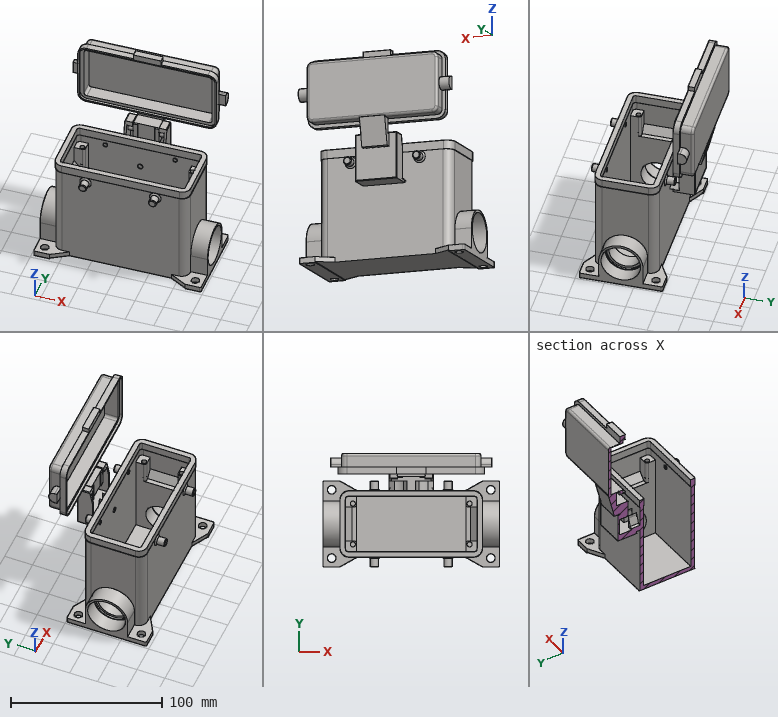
import cadquery as cq

body_length = 93.7
body_width = 43.8
body_corner = 6.0
body_bottom = 0.5
rim_length = 94.5
rim_width = 44.1
rim_top = 77.1
rim_height = 5.9
rim_bottom = rim_top - rim_height

cavity_length = 87.3
cavity_width = 36.9
cavity_corner = 2.5
mouth_length = 87.0
mouth_width = 36.6
mouth_corner = 1.7
floor_top = 4.1
floor_length = 72.2

post_top = 65.6
post_width = 7.2
post_edge_radius = 1.7
ledge_top = 49.2
ramp_top = 54.3
ramp_run = 4.4
screw_hole_x = 38.6
screw_hole_y = 13.5
screw_hole_diameter = 3.3
screw_hole_depth = 13.8

entry_length = 117.0
entry_height = 17.6
entry_radius = 15.2
bore_radius = 11.3
seat_radius = 13.0
recess_radius = 13.5
recess_depth = 10.7
seat_depth = 12.1

foot_width = 57.0
foot_top = 3.9
pad_inner_x = 47.2
wing_inner_x = 35.5
foot_corner = 1.0
foot_hole_x = 52.6
foot_hole_y = 22.6
foot_hole_diameter = 5.5

pin_x = 24.4
pin_height = 67.2
pin_radius = 2.8
pin_base_radius = 4.0
pin_base_height = 1.0
pin_chamfer = 0.5

bracket_half_width = 14.6
bracket_front = body_width / 2
bracket_back = 28.4
bracket_bottom = 51.7
bracket_base_top = 55.1
bracket_top = 64.5
horn_inner_x = 2.8
rivet_height = 55.1
rivet_diameter = 3.6
pin_rivet_diameter = 3.0
rivet_depth = 0.5

cover_width = 29.5
cover_back = 39.3
cover_top = 81.5
cover_top_front = 30.3
cover_slope_bottom = 71.9
cover_bottom = 50.0
cover_flange_front = 24.0
cover_wall = 1.7
ear_roof = 3.0
cover_edge_chamfer = 0.5
ear_gap = 18.5

lid_flange_front = 33.0
lid_flange_back = 37.6
lid_back = 46.7
lid_center_height = 111.5
lid_flange_length = 97.0
lid_flange_height = 46.0
lid_flange_corner = 6.0
lid_shell_length = 92.5
lid_shell_height = 41.0
lid_shell_corner = 3.9
lid_edge_round = 1.8
lip_width = 1.1
lip_depth = 1.8
lid_cavity_length = 89.3
lid_cavity_height = 39.1
lid_cavity_corner = 1.9
lid_cavity_depth = 9.5
tab_width = 19.3
part_height = 137.8
lug_span = 106.6
lug_radius = 4.4
lug_axis_y = 39.3

arm_width = 17.9
arm_top = 91.6
arm_bottom = 72.2
arm_inner_y = 40.0
arm_tip_y = 41.9
knuckle_top = 80.7
knuckle_bottom = 67.5
knuckle_front = 30.7
knuckle_recess_width = 11.8
knuckle_chamfer = 0.7
axle_radius = 1.9
axle_y = 33.9
axle_height = 73.8


def upright_block(length, width, corner, bottom, top):
    """Box centred on the Z axis with rounded vertical edges."""
    return (
        cq.Workplane("XY", origin=(0, 0, bottom))
        .rect(length, width)
        .extrude(top - bottom)
        .edges("|Z")
        .fillet(corner)
    )


def span_box(x_min, x_max, y_min, y_max, z_min, z_max):
    """Box between two opposite corners."""
    return cq.Workplane("XY").box(
        x_max - x_min, y_max - y_min, z_max - z_min, centered=False
    ).translate((x_min, y_min, z_min))


def centred_box(width, y_min, y_max, z_min, z_max):
    """Box centred on the YZ plane."""
    return span_box(-width / 2, width / 2, y_min, y_max, z_min, z_max)


def yz_prism(points, width):
    """Outline in the YZ plane extruded evenly to both sides of X = 0."""
    return cq.Workplane("YZ").polyline(points).close().extrude(width / 2, both=True)


def x_cylinder(radius, y, z, length):
    """Cylinder along X, centred on X = 0."""
    return cq.Workplane("YZ", origin=(0, y, z)).circle(radius).extrude(length / 2, both=True)


def lid_plate(length, height, corner, y_front, y_back):
    """Rounded plate standing upright at the lid centre."""
    return (
        cq.Workplane("XZ", origin=(0, y_front, lid_center_height))
        .rect(length, height)
        .extrude(y_front - y_back)
        .edges("|Y")
        .fillet(corner)
    )


def both_ends(feature):
    """Feature at +X joined with its mirror image at -X."""
    return feature.union(feature.mirror("YZ"))


def make_foot():
    """Tapered mounting foot at the +X end, with a raised wing next to the body."""
    outer_x = entry_length / 2
    outer_y = foot_width / 2
    inner_y = body_width / 2
    outline = [
        (wing_inner_x, -inner_y),
        (pad_inner_x, -outer_y),
        (outer_x, -outer_y),
        (outer_x, outer_y),
        (pad_inner_x, outer_y),
        (wing_inner_x, inner_y),
    ]
    plate = cq.Workplane("XY").polyline(outline).close().extrude(foot_top)
    plate = plate.edges("|Z and >X").fillet(foot_corner)
    under_wing = span_box(0, pad_inner_x, -outer_y, outer_y, 0, body_bottom)
    holes = (
        cq.Workplane("XY")
        .pushPoints([(foot_hole_x, -foot_hole_y), (foot_hole_x, foot_hole_y)])
        .circle(foot_hole_diameter / 2)
        .extrude(foot_top)
    )
    return plate.cut(under_wing).cut(holes)


def make_entry():
    """Cable entry at the +X end: half round on top, straight sides down to the foot."""
    inner_x = floor_length / 2
    length = entry_length / 2 - inner_x
    dome = (
        cq.Workplane("YZ", origin=(inner_x, 0, entry_height))
        .circle(entry_radius)
        .extrude(length)
    )
    base = span_box(
        inner_x, entry_length / 2, -entry_radius, entry_radius, body_bottom, entry_height
    )
    return dome.union(base)


def make_entry_bore():
    """Stepped bore cut inwards from the +X face."""
    outer_face = cq.Workplane("YZ", origin=(entry_length / 2, 0, entry_height))
    bore = outer_face.circle(bore_radius).extrude(floor_length / 2 - entry_length / 2)
    seat = outer_face.circle(seat_radius).extrude(-seat_depth)
    recess = outer_face.circle(recess_radius).extrude(-recess_depth)
    return bore.union(seat).union(recess)


def make_end_block():
    """Inside the +X end: ledge with a ramp to the wall and two screw posts."""
    wall_x = cavity_length / 2
    inner_x = floor_length / 2
    wall_y = cavity_width / 2
    ledge = (
        cq.Workplane("XZ", origin=(0, wall_y, 0))
        .moveTo(inner_x, floor_top)
        .lineTo(wall_x, floor_top)
        .lineTo(wall_x, ramp_top)
        .lineTo(wall_x - ramp_run, ledge_top)
        .lineTo(inner_x, ledge_top)
        .close()
        .extrude(cavity_width)
    )
    post = span_box(inner_x, wall_x, wall_y - post_width, wall_y, ledge_top, post_top)
    post = post.edges("|Z and <X and <Y").fillet(post_edge_radius)
    hole = (
        cq.Workplane("XY", origin=(screw_hole_x, screw_hole_y, post_top))
        .circle(screw_hole_diameter / 2)
        .extrude(-screw_hole_depth)
    )
    post = post.cut(hole)
    return ledge.union(post).union(post.mirror("XZ"))


def make_pin():
    """Locking pin with a conical base on the front wall."""
    wall_y = body_width / 2
    tip_y = foot_width / 2
    return (
        cq.Workplane("XY")
        .moveTo(0, -wall_y)
        .lineTo(pin_base_radius, -wall_y)
        .lineTo(pin_radius, -wall_y - pin_base_height)
        .lineTo(pin_radius, -tip_y + pin_chamfer)
        .lineTo(pin_radius - pin_chamfer, -tip_y)
        .lineTo(0, -tip_y)
        .close()
        .revolve(360, (0, 0, 0), (0, 1, 0))
        .translate((pin_x, 0, pin_height))
    )


def make_housing():
    housing = upright_block(body_length, body_width, body_corner, body_bottom, rim_bottom)
    housing = housing.union(
        upright_block(rim_length, rim_width, body_corner, rim_bottom, rim_top)
    )
    housing = housing.union(both_ends(make_entry())).union(both_ends(make_foot()))
    housing = housing.cut(
        upright_block(cavity_length, cavity_width, cavity_corner, floor_top, rim_bottom)
    )
    housing = housing.cut(
        upright_block(mouth_length, mouth_width, mouth_corner, rim_bottom, rim_top)
    )
    housing = housing.union(both_ends(make_end_block()))
    housing = housing.cut(both_ends(make_entry_bore()))
    front_pins = both_ends(make_pin())
    return housing.union(front_pins).union(front_pins.mirror("XZ"))


def make_bracket():
    """Hinge bracket: two horns with hollow outer flanks, joined by a base plate with a tongue."""
    side_end = (11.0, bracket_base_top)
    flank_mid = (7.9, 55.5)
    flank_end = (5.1, 57.2)
    shoulder = (3.0, 63.0)
    horn = (
        cq.Workplane("XZ", origin=(0, bracket_front, 0))
        .moveTo(horn_inner_x, bracket_bottom)
        .lineTo(bracket_half_width, bracket_bottom)
        .lineTo(*side_end)
        .threePointArc(flank_mid, flank_end)
        .lineTo(*shoulder)
        .lineTo(horn_inner_x, bracket_top)
        .close()
        .extrude(bracket_front - bracket_back)
    )
    base = centred_box(
        2 * horn_inner_x, bracket_front, bracket_back, bracket_bottom, bracket_base_top
    )
    tongue = centred_box(
        cover_width - 2 * cover_wall,
        bracket_back,
        cover_back - cover_wall,
        bracket_bottom,
        bracket_base_top,
    )
    return both_ends(horn).union(base).union(tongue)


def make_rivet_mark(x, height, diameter):
    """Shallow round recess in the inner face of the rear wall."""
    return (
        cq.Workplane("XZ", origin=(x, cavity_width / 2, height))
        .circle(diameter / 2)
        .extrude(-rivet_depth)
    )


def make_cover():
    """Hinge cover: open-fronted shell with two ears beside the lid knuckle."""
    shell = yz_prism(
        [
            (cover_back, cover_bottom),
            (cover_back, cover_top),
            (cover_top_front, cover_top),
            (bracket_back, cover_slope_bottom),
            (bracket_back, bracket_bottom),
            (cover_flange_front, bracket_bottom),
            (cover_flange_front, cover_bottom),
        ],
        cover_width,
    )
    shell = shell.edges(">Y or (>Z and |Y)").chamfer(cover_edge_chamfer)
    inner_back = cover_back - cover_wall
    hollow = centred_box(
        cover_width - 2 * cover_wall,
        cover_flange_front,
        inner_back,
        bracket_bottom,
        cover_top - ear_roof,
    )
    gap = centred_box(ear_gap, cover_flange_front, cover_back, cover_slope_bottom, cover_top)
    return shell.cut(hollow).cut(gap)


def make_lid():
    flange = lid_plate(
        lid_flange_length, lid_flange_height, lid_flange_corner, lid_flange_front, lid_flange_back
    )
    shell = lid_plate(
        lid_shell_length, lid_shell_height, lid_shell_corner, lid_flange_back, lid_back
    )
    shell = shell.faces(">Y").edges().fillet(lid_edge_round)
    tab = centred_box(
        tab_width, lid_flange_front, lid_flange_back, lid_center_height, part_height
    )
    lugs = x_cylinder(lug_radius, lug_axis_y, lid_center_height, lug_span)
    lugs = lugs.union(
        centred_box(
            lug_span,
            lid_flange_front,
            lug_axis_y,
            lid_center_height - lug_radius,
            lid_center_height + lug_radius,
        )
    )
    lugs = lugs.intersect(centred_box(lug_span, lid_flange_back, lid_back, 0, part_height))
    seat_y = lid_flange_front + lip_depth
    seat = lid_plate(
        lid_flange_length - 2 * lip_width,
        lid_flange_height - 2 * lip_width,
        lid_flange_corner - lip_width,
        lid_flange_front,
        seat_y,
    )
    cavity = lid_plate(
        lid_cavity_length,
        lid_cavity_height,
        lid_cavity_corner,
        seat_y,
        seat_y + lid_cavity_depth,
    )
    return flange.union(shell).union(tab).union(lugs).cut(seat).cut(cavity)


def make_arm():
    """Tapered lid arm ending in a knuckle, recessed in front, that turns on the axle."""
    arm = yz_prism(
        [
            (lid_back, arm_top),
            (arm_inner_y, arm_top),
            (arm_inner_y, knuckle_top),
            (knuckle_front + knuckle_chamfer, knuckle_top),
            (knuckle_front, knuckle_top - knuckle_chamfer),
            (knuckle_front, knuckle_bottom),
            (cover_back - cover_wall, knuckle_bottom),
            (cover_back - cover_wall, arm_bottom),
            (arm_tip_y, arm_bottom),
        ],
        arm_width,
    )
    recess = centred_box(
        knuckle_recess_width,
        knuckle_front,
        knuckle_front + knuckle_chamfer,
        knuckle_bottom,
        knuckle_top,
    )
    return arm.cut(recess)


axle = x_cylinder(axle_radius, axle_y, axle_height, cover_width - 2 * cover_wall)
pin_rivets = both_ends(make_rivet_mark(pin_x, pin_height, pin_rivet_diameter))

result = (
    make_housing()
    .union(make_bracket())
    .cut(make_rivet_mark(0, rivet_height, rivet_diameter))
    .cut(pin_rivets)
    .cut(pin_rivets.mirror("XZ"))
    .union(make_cover())
    .union(make_lid())
    .union(make_arm())
    .union(axle)
)